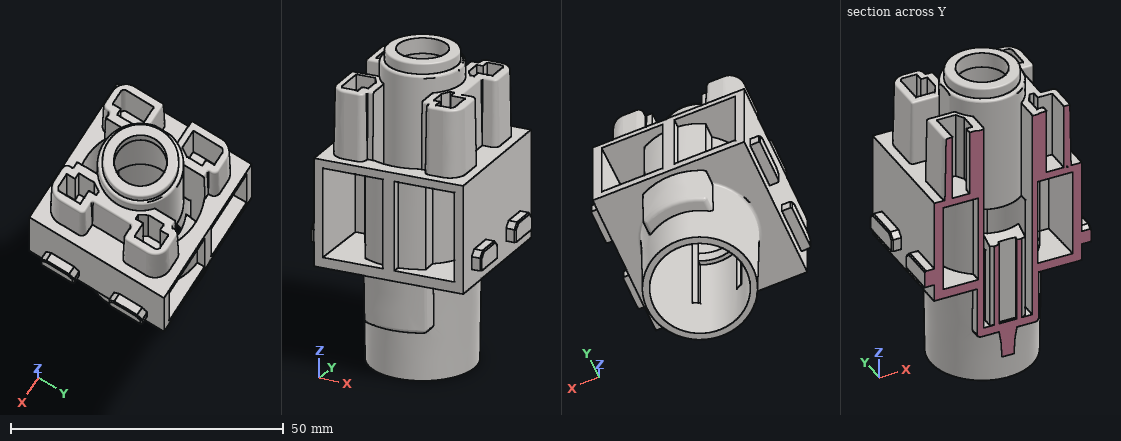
import cadquery as cq
import math

total_height = 61.8

body_x = 30.3
body_y = 29.2
body_bottom = 21.2
body_top = 42.75

window_bottom = 23.3
window_top = 41.1
window_outer_x = 13.35
window_web_x = 1.2
window_draft = 0.3
mid_wall = 2.5

neck_bottom_r = 10.55
neck_top_r = 10.9
neck_fillet = 0.55
barrel_r = 10.55
barrel_bore_d = 18.5

tube_r = 7.9
tube_bottom = 35.85
tube_top = 59.65
tube_edge_fillet = 0.5
tube_bore_d = 14.3
ring_d = 14.0
ring_edge_fillet = 0.4
mouth_d = 9.75
lip_height = 3.1
tube_flat_x = 7.65

lug_bottom = 10.45
lug_half_width = 6.35
lug_top_r = 13.55
lug_bottom_r = 13.35
lug_side_fillet = 0.6
lug_bottom_fillet = 0.85

slot_half_width = 4.95
slot_r = 11.8
slot_floor = 12.35
slot_housing_r = 13.1
slot_housing_half_width = 6.1
arm_half_width = 3.65
arm_outer_r = 10.95
arm_top = 30.9
hook_r = 8.4
hook_ramp = 1.25
hook_height = 3.1
arm_notch_half_width = 1.8
arm_notch_y = 10.15

tower_top = 56.2
tower_x = 13.2
tower_y = 12.6
tower_draft = 1.0
tower_edge_fillet = 0.45
tower_corner_r = 3.2
tower_nose_r = 1.3
tower_step_x = 6.05
tower_step_y = 10.9
tower_core_x = 3.7
left_gap_y = 2.7
left_corner_r = 0.7
right_gap_y = 4.0
right_gap_x = 10.2
right_corner_r = 1.1
halves_overlap = 1.85

pocket_outer_x = 11.45
pocket_end_y = 11.0
pocket_step_x = 7.9
pocket_step_y = 9.2
pocket_inner_x = 6.6
pocket_bevel_y = 5.9
pocket_near_x = 7.6
pocket_near_y = 4.25
pocket_key_x = 8.45
pocket_corner_r = 0.75

overall_x = 34.2
peg_out = (overall_x - body_x) / 2
peg_bottom = 24.7
peg_top = 28.35
peg_chamfer = 1.1
peg_edge = 0.25
peg_y = 7.35
left_peg_width = 9.0
right_peg_width = 7.15


def cylinder(radius, bottom, top):
    return cq.Workplane("XY").workplane(offset=bottom).circle(radius).extrude(top - bottom)


def block(x_size, y_size, bottom, top):
    return cq.Workplane("XY").workplane(offset=bottom).rect(x_size, y_size).extrude(top - bottom)


def cone(bottom_r, top_r, bottom, top):
    profile = [(0, bottom), (bottom_r, bottom), (top_r, top), (0, top)]
    return cq.Workplane("XZ").polyline(profile).close().revolve(360, (0, 0), (0, 1))


def both_sides(shape, plane):
    return shape.union(shape.mirror(plane))


def make_body():
    """Box with four window chambers around the barrel and the slot housings."""
    half_y = body_y / 2
    far_y = mid_wall / 2
    chamber = (
        cq.Workplane("XY")
        .workplane(offset=window_bottom)
        .moveTo(window_web_x, -half_y)
        .lineTo(window_outer_x, -half_y)
        .lineTo(window_outer_x - window_draft, -far_y)
        .lineTo(window_web_x + window_draft, -far_y)
        .close()
        .extrude(window_top - window_bottom)
    )
    chambers = both_sides(both_sides(chamber, "YZ"), "XZ")
    housing = cylinder(slot_housing_r, window_bottom, window_top).intersect(
        block(2 * slot_housing_half_width, body_y, window_bottom, window_top)
    )
    barrel = cylinder(barrel_r, window_bottom, window_top)
    chambers = chambers.cut(barrel).cut(housing)
    return block(body_x, body_y, body_bottom, body_top).cut(chambers)


def make_neck():
    """Tapered neck that flares into the underside of the body."""
    flare_bottom = body_bottom - neck_fillet
    turn = neck_fillet * (1 - math.sqrt(0.5))
    profile = (
        cq.Workplane("XZ")
        .lineTo(neck_bottom_r, 0)
        .lineTo(neck_top_r, flare_bottom)
        .threePointArc((neck_top_r + turn, body_bottom - turn), (neck_top_r + neck_fillet, body_bottom))
        .lineTo(0, body_bottom)
        .close()
    )
    return profile.revolve(360, (0, 0), (0, 1))


def make_lugs():
    """Lugs with a conical outer face and rounded outer edges."""
    lug = (
        cone(lug_bottom_r, lug_top_r, lug_bottom, body_bottom)
        .intersect(
            cq.Workplane("XY")
            .workplane(offset=lug_bottom)
            .center(0, -lug_top_r / 2)
            .rect(2 * lug_half_width, lug_top_r)
            .extrude(body_bottom - lug_bottom)
        )
    )
    corner_zone = cq.selectors.BoxSelector(
        (-lug_top_r, -lug_top_r, lug_bottom + lug_bottom_fillet),
        (lug_top_r, -neck_top_r, body_bottom - lug_bottom_fillet),
    )
    lug = lug.edges(corner_zone).fillet(lug_side_fillet)
    lug = lug.faces("<Z").edges("not >Y").fillet(lug_bottom_fillet)
    return both_sides(lug, "XZ")


def make_tube():
    """Round tube with a narrower ring on top and a flat on its -X side."""
    tube = cylinder(tube_r, tube_bottom, tube_top).faces(">Z").edges().fillet(tube_edge_fillet)
    ring = cylinder(ring_d / 2, tube_top, total_height).faces(">Z").edges().fillet(ring_edge_fillet)
    beyond_flat = block(body_x, body_y, body_top, total_height).translate((-body_x / 2 - tube_flat_x, 0, 0))
    return tube.cut(beyond_flat).union(ring)


def tower_block(outline):
    height = tower_top - body_top
    raised = outline.close().extrude(height, taper=tower_draft)
    return raised.faces(">Z").edges().fillet(tower_edge_fillet)


def arc_corner(sketch, corner, start_dir, end_dir, radius):
    """Draw to the start of a corner and round it; the directions point away from the corner."""
    start = (corner[0] + start_dir[0] * radius, corner[1] + start_dir[1] * radius)
    end = (corner[0] + end_dir[0] * radius, corner[1] + end_dir[1] * radius)
    near = radius * (1 - math.sqrt(0.5))
    middle = (
        corner[0] + (start_dir[0] + end_dir[0]) * near,
        corner[1] + (start_dir[1] + end_dir[1]) * near,
    )
    return sketch.lineTo(*start).threePointArc(middle, end)


def tower_outer_edge(sketch, gap_y, gap_corner_r):
    """Outline of a +X +Y tower, from its gap corner round to its step near the slot."""
    sketch = arc_corner(sketch, (tower_x, gap_y), (-1, 0), (0, 1), gap_corner_r)
    sketch = arc_corner(sketch, (tower_x, tower_y), (0, -1), (-1, 0), tower_corner_r)
    sketch = arc_corner(sketch, (tower_step_x, tower_y), (1, 0), (0, -1), tower_nose_r)
    return sketch.lineTo(tower_step_x, tower_step_y).lineTo(tower_core_x, tower_step_y)


def make_towers():
    """Two separate towers on the -X side and a joined pair on the +X side."""
    base = cq.Workplane("XY").workplane(offset=body_top)

    left = tower_block(tower_outer_edge(base.moveTo(tower_core_x, left_gap_y), left_gap_y, left_corner_r))
    left = both_sides(left, "XZ").mirror("YZ")

    right = base.moveTo(tower_core_x, -halves_overlap).lineTo(right_gap_x, -halves_overlap)
    right = right.lineTo(right_gap_x, right_gap_y)
    right = tower_block(tower_outer_edge(right, right_gap_y, right_corner_r))
    right = both_sides(right, "XZ")
    return left, right


def make_pockets():
    """Blind pockets that run from the tower tops down to the top of the body."""
    def pocket(sketch):
        sketch = arc_corner(sketch, (pocket_outer_x, pocket_end_y), (0, -1), (-1, 0), pocket_corner_r)
        return (
            sketch.lineTo(pocket_step_x, pocket_end_y)
            .lineTo(pocket_step_x, pocket_step_y)
            .lineTo(pocket_inner_x, pocket_step_y)
            .lineTo(pocket_inner_x, pocket_bevel_y)
            .lineTo(pocket_near_x, pocket_near_y)
            .close()
            .extrude(tower_top - body_top)
        )

    base = cq.Workplane("XY").workplane(offset=body_top)
    left = pocket(base.moveTo(pocket_near_x, pocket_near_y).lineTo(pocket_outer_x, pocket_near_y)).mirror("YZ")
    keyed = base.moveTo(pocket_near_x, pocket_near_y).lineTo(pocket_key_x, pocket_near_y)
    keyed = keyed.lineTo(pocket_key_x, pocket_bevel_y).lineTo(pocket_outer_x, pocket_bevel_y)
    return both_sides(left.union(pocket(keyed)), "XZ")


def make_slots():
    """Front and back slots, open at the top, with everything inside the tube's radius kept."""
    slot = cylinder(slot_r, slot_floor, tower_top).intersect(
        block(2 * slot_half_width, body_y, slot_floor, tower_top)
    )
    above_slot = block(2 * slot_half_width, body_y, body_top, tower_top)
    return slot.union(above_slot).cut(cylinder(tube_r, slot_floor, tower_top))


def make_arms():
    """Latch arms that stand on the slot floors, each with an inward hook whose top slopes down outward."""
    bore_r = barrel_bore_d / 2
    hook_bottom = arm_top - hook_height
    arms = (
        cq.Workplane("XZ")
        .moveTo(bore_r, slot_floor)
        .lineTo(arm_outer_r, slot_floor)
        .lineTo(arm_outer_r, arm_top - hook_ramp)
        .lineTo(hook_r, arm_top)
        .lineTo(hook_r, hook_bottom)
        .lineTo(bore_r, hook_bottom)
        .close()
        .revolve(360, (0, 0), (0, 1))
        .intersect(block(2 * arm_half_width, body_y, slot_floor, arm_top))
    )
    notch_side = block(2 * arm_notch_half_width, body_y, slot_floor, arm_top)
    notch = notch_side.cut(block(body_x, 2 * arm_notch_y, slot_floor, arm_top))
    return arms.cut(notch)


def make_bores():
    """Stepped bore: wide in the barrel, narrower in the tube, narrowest at the mouth."""
    lip_bottom = total_height - lip_height
    barrel_bore = cylinder(barrel_bore_d / 2, 0, tube_bottom)
    tube_bore = cylinder(tube_bore_d / 2, tube_bottom, lip_bottom)
    mouth = cylinder(mouth_d / 2, lip_bottom, total_height)
    return barrel_bore.union(tube_bore).union(mouth)


def make_peg(width):
    """Peg on the +X side with bevelled upper corners and a broken outer edge."""
    half = width / 2
    height = peg_top - peg_bottom
    peg = (
        cq.Workplane("YZ")
        .workplane(offset=body_x / 2)
        .center(peg_y, peg_bottom)
        .moveTo(-half, 0)
        .lineTo(half, 0)
        .lineTo(half, height - peg_chamfer)
        .lineTo(half - peg_chamfer, height)
        .lineTo(peg_chamfer - half, height)
        .lineTo(-half, height - peg_chamfer)
        .close()
        .extrude(peg_out)
    )
    return peg.faces(">X").edges("not <Z").chamfer(peg_edge)


def make_pegs():
    pegs = make_peg(right_peg_width).union(make_peg(left_peg_width).mirror("YZ"))
    return both_sides(pegs, "XZ")


left_towers, right_towers = make_towers()
result = (
    make_body()
    .union(make_neck())
    .union(make_lugs())
    .union(left_towers)
    .union(right_towers)
    .union(make_tube())
    .cut(make_pockets())
    .cut(make_slots())
    .cut(make_bores())
    .union(make_arms())
    .union(make_pegs())
)